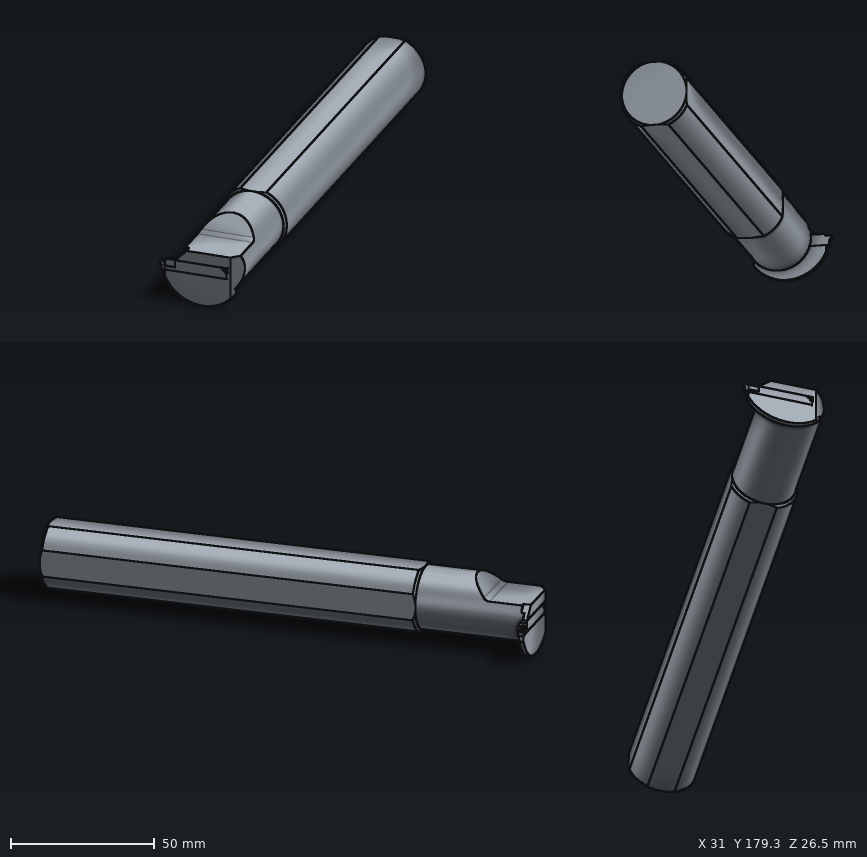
import cadquery as cq


total_length = 179.3
total_width = 31.0
tooth_overhang = 0.4
back_y = total_length - tooth_overhang

shank_diameter = 25.0
neck_diameter = 23.0
flat_distance = neck_diameter / 2
neck_length = 41.5
shoulder_chamfer = 0.9
back_chamfer = 0.9

neck_flat_z = 5.0
run_out_y = 16.0
run_out_fillet = 3.0

plate_thickness = 1.6
plate_radius = 15.2
plate_x = -2.9
plate_bottom_z = -15.0
plate_z = plate_bottom_z + plate_radius
plate_left_x = -16.9
corner_chamfer_x = 7.5

chip_relief_x = -8.8
chip_relief_depth = 2.7

insert_top_z = 0.7
insert_bottom_z = -3.4
insert_right_x = 6.1
insert_corner_x = 4.1
insert_corner_z = -1.5

clearance_right_x = 6.5
clearance_bottom_z = -1.0

insert_left_x = -18.0
groove_x = -16.1
groove_z = 0.0

tooth_tip_x = shank_diameter / 2 - total_width
tooth_bottom_z = -0.9
tooth_width = tooth_overhang + plate_thickness

front_relief_right_x = -13.1
front_relief_bottom_z = -2.0
front_relief_depth = 0.2


def prism(points, front_y, depth):
    """Outline in X and Z, extruded towards +Y from front_y."""
    return cq.Workplane("XZ", origin=(0, front_y, 0)).polyline(points).close().extrude(-depth)


def block(left_x, right_x, bottom_z, top_z, depth):
    """Rectangular prism reaching back from the front face."""
    return prism([(left_x, bottom_z), (right_x, bottom_z), (right_x, top_z), (left_x, top_z)], 0, depth)


def make_shank():
    length = back_y - neck_length
    blank = (
        cq.Workplane("XZ", origin=(0, neck_length, 0))
        .circle(shank_diameter / 2)
        .extrude(-length)
        .faces("<Y").chamfer(shoulder_chamfer)
        .faces(">Y").chamfer(back_chamfer)
    )
    envelope = cq.Workplane("XY").box(
        flat_distance + shank_diameter, length, 2 * flat_distance, centered=(False, False, True)
    ).translate((-flat_distance, neck_length, 0))
    return blank.intersect(envelope)


def make_neck():
    neck = cq.Workplane("XZ").circle(neck_diameter / 2).extrude(-neck_length)
    rise = neck_diameter
    flat_cut = (
        cq.Workplane("YZ")
        .moveTo(-rise, neck_flat_z)
        .lineTo(run_out_y, neck_flat_z)
        .lineTo(run_out_y + rise, neck_flat_z + rise)
        .lineTo(-rise, neck_flat_z + rise)
        .close()
        .extrude(neck_diameter, both=True)
        .edges(cq.selectors.NearestToPointSelector((0, run_out_y, neck_flat_z)))
        .fillet(run_out_fillet)
    )
    return neck.cut(flat_cut)


def make_plate():
    disc = (
        cq.Workplane("XZ").center(plate_x, plate_z).circle(plate_radius).extrude(-plate_thickness)
    )
    envelope = block(plate_left_x, neck_diameter / 2, -neck_diameter, neck_flat_z, plate_thickness)
    return disc.intersect(envelope)


def make_corner_cut():
    """45 degree chamfer on the front +X corner."""
    reach = neck_diameter
    return (
        cq.Workplane("XY")
        .polyline([(corner_chamfer_x, 0), (corner_chamfer_x + reach, 0), (corner_chamfer_x + reach, reach)])
        .close()
        .extrude(neck_diameter, both=True)
    )


def make_chip_relief_cut():
    drop = neck_flat_z - insert_top_z
    foot_x = chip_relief_x - drop
    return prism(
        [
            (chip_relief_x, neck_flat_z),
            (foot_x, insert_top_z),
            (groove_x, insert_top_z),
            (plate_left_x, groove_z),
            (plate_left_x, neck_flat_z),
        ],
        0,
        chip_relief_depth,
    )


def make_corner_clearance():
    """Room in the holder around the bevelled corner of the insert."""
    return block(
        insert_corner_x, clearance_right_x, clearance_bottom_z, insert_top_z, plate_thickness
    )


def make_blade():
    """Plain bar of the insert, which also shapes its pocket in the holder."""
    return prism(
        [
            (insert_left_x, insert_bottom_z),
            (insert_right_x, insert_bottom_z),
            (insert_right_x, insert_corner_z),
            (insert_corner_x, insert_top_z),
            (groove_x, insert_top_z),
            (plate_left_x, groove_z),
            (insert_left_x, groove_z),
        ],
        0,
        plate_thickness,
    )


def make_insert():
    tooth = prism(
        [
            (plate_left_x, groove_z),
            (tooth_tip_x, groove_z),
            (tooth_tip_x, tooth_bottom_z),
            (insert_left_x, front_relief_bottom_z),
            (insert_left_x, insert_bottom_z),
            (plate_left_x, insert_bottom_z),
        ],
        -tooth_overhang,
        tooth_width,
    )
    front_relief = block(
        plate_left_x, front_relief_right_x, front_relief_bottom_z, insert_top_z, front_relief_depth
    )
    return make_blade().cut(front_relief).union(tooth)


insert = make_insert()
holder = (
    make_shank()
    .union(make_neck())
    .union(make_plate())
    .cut(make_corner_cut())
    .cut(make_chip_relief_cut())
    .cut(make_corner_clearance())
    .cut(make_blade())
)

result = cq.Compound.makeCompound([holder.val(), insert.val()])